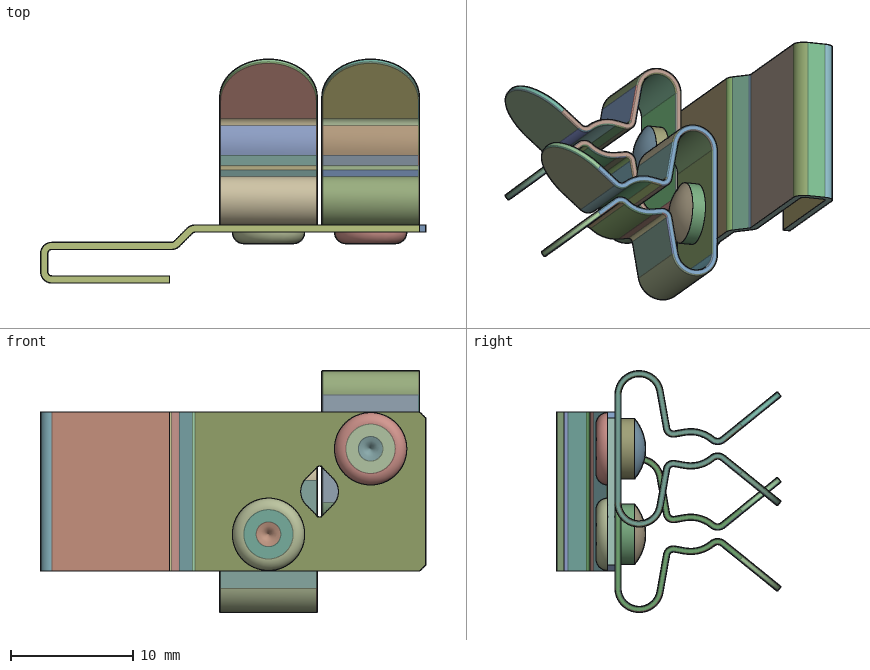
import cadquery as cq
import math


bracket_length = 31.5
bracket_height = 13.0
bracket_thickness = 0.6
bracket_inner_radius = 0.3
hook_depth = 3.35
hook_arm_length = 10.55
jog_offset = 1.42
jog_angle = 45
plate_length = 18.87
plate_end = 8.7
corner_chamfer = 0.5

opening_radius = 1.55
opening_half_height = 2.08

rivet_spacing_x = 8.35
rivet_offset_x = rivet_spacing_x / 2
rivet_offset_z = 3.5
shank_radius = 2.5
shank_end = 1.6
dome_height = 0.9
head_radius = 2.95
head_height = 0.95
head_flat_radius = head_radius - head_height
dimple_radius = 1.0

clip_width = 8.0
clip_thickness = 0.5
clip_edge_radius = 0.1
web_half_height = 4.4
loop_radius = 1.73
loop_angle = 170
arm_length = 3.1
elbow_radius = 0.57
elbow_angle = 90
shelf_length = 0.85
crest_radius = 2.75
crest_angle = 50
throat_radius = 0.7
throat_angle = 79
leg_length = 5.92


def bent_path(plane, start, heading, steps):
    """Wire of straights and tangent bends.

    Each step is ("straight", length) or ("bend", radius, turn), with turns in degrees, positive to the left.
    """
    path = cq.Workplane(plane).moveTo(*start)
    u, v = start
    for kind, size, *turn in steps:
        if kind == "straight":
            u += size * math.cos(math.radians(heading))
            v += size * math.sin(math.radians(heading))
            path = path.lineTo(u, v)
        else:
            half_turn = turn[0] / 2
            chord = 2 * size * math.sin(math.radians(abs(half_turn)))
            u += chord * math.cos(math.radians(heading + half_turn))
            v += chord * math.sin(math.radians(heading + half_turn))
            path = path.tangentArcPoint((u, v), relative=False)
            heading += turn[0]
    return path


def opening_cutter():
    """Prism along Y with the outline of the opening in the mounting plate."""
    diagonal = math.sqrt(0.5)
    tip_radius = (opening_radius - opening_half_height * diagonal) / (1 - diagonal)
    tip_centre = opening_half_height - tip_radius
    side = opening_radius * diagonal
    tip_u = tip_radius * diagonal
    tip_v = tip_centre + tip_u
    return (
        cq.Workplane("XZ")
        .moveTo(side, -side)
        .threePointArc((opening_radius, 0), (side, side))
        .lineTo(tip_u, tip_v)
        .threePointArc((0, opening_half_height), (-tip_u, tip_v))
        .lineTo(-side, side)
        .threePointArc((-opening_radius, 0), (-side, -side))
        .lineTo(-tip_u, -tip_v)
        .threePointArc((0, -opening_half_height), (tip_u, -tip_v))
        .close()
        .extrude(bracket_thickness)
    )


def rivet_hole(x, z):
    """Cylinder along Y that clears the shank of the rivet at (x, z) in both the plate and the clip."""
    reach = bracket_thickness + clip_thickness
    return (
        cq.Workplane("XZ", origin=(x, clip_thickness, z))
        .circle(shank_radius)
        .extrude(reach)
    )


def make_bracket():
    bend_radius = bracket_inner_radius + bracket_thickness / 2
    outer_radius = bracket_inner_radius + bracket_thickness
    jog_radians = math.radians(jog_angle)
    jog_bends_x = 2 * bend_radius * math.sin(jog_radians)
    jog_bends_y = 2 * bend_radius * (1 - math.cos(jog_radians))
    slant_length = (jog_offset - jog_bends_y) / math.sin(jog_radians)
    jog_length = jog_bends_x + slant_length * math.cos(jog_radians)
    hook_arm_straight = hook_arm_length - outer_radius
    hook_spine_straight = hook_depth - 2 * outer_radius
    hook_back_straight = bracket_length - plate_length - jog_length - outer_radius
    start_x = plate_end - bracket_length + hook_arm_length
    start_y = bracket_thickness / 2 - jog_offset - hook_depth
    steps = [
        ("straight", hook_arm_straight),
        ("bend", bend_radius, -90),
        ("straight", hook_spine_straight),
        ("bend", bend_radius, -90),
        ("straight", hook_back_straight),
        ("bend", bend_radius, jog_angle),
        ("straight", slant_length),
        ("bend", bend_radius, -jog_angle),
        ("straight", plate_length),
    ]
    path = bent_path("XY", (start_x, start_y), 180, steps)
    bracket = (
        cq.Workplane("YZ", origin=(start_x, start_y, 0))
        .rect(bracket_thickness, bracket_height)
        .sweep(path)
    )
    return bracket.edges("|Y and >X").chamfer(corner_chamfer).cut(opening_cutter())


def leg_end_trimmer(tip_y, tip_z, leg_angle):
    """Material outside the half-round end of a leg, centred on x = 0."""
    half_width = clip_width / 2
    margin = clip_thickness
    outer_half_width = half_width + margin
    tip_plane = cq.Plane(
        origin=(0, tip_y, tip_z),
        xDir=(1, 0, 0),
        normal=(0, -math.sin(leg_angle), math.cos(leg_angle)),
    )
    return (
        cq.Workplane(tip_plane)
        .moveTo(-half_width, -half_width)
        .threePointArc((0, 0), (half_width, -half_width))
        .lineTo(outer_half_width, -half_width)
        .lineTo(outer_half_width, margin)
        .lineTo(-outer_half_width, margin)
        .lineTo(-outer_half_width, -half_width)
        .close()
        .extrude(clip_thickness, both=True)
    )


def make_clip(x, z):
    """Clip bent from one strip, placed with the middle of its web at (x, z)."""
    steps = [
        ("straight", web_half_height),
        ("bend", loop_radius, -loop_angle),
        ("straight", arm_length),
        ("bend", elbow_radius, elbow_angle),
        ("straight", shelf_length),
        ("bend", crest_radius, -crest_angle),
        ("bend", throat_radius, throat_angle),
        ("straight", leg_length),
    ]
    path = bent_path("YZ", (clip_thickness / 2, 0), 90, steps).wire()
    leg_tip = path.val().endPoint()
    leg_angle = math.radians(90 - loop_angle + elbow_angle - crest_angle + throat_angle)
    upper_half = (
        cq.Workplane("XY", origin=(0, clip_thickness / 2, 0))
        .rect(clip_width, clip_thickness)
        .sweep(path)
        .cut(leg_end_trimmer(leg_tip.y, leg_tip.z, leg_angle))
    )
    strip = upper_half.union(upper_half.mirror("XY")).clean()
    strip = strip.edges("not |X").fillet(clip_edge_radius)
    return strip.translate((x, 0, z)).cut(rivet_hole(x, z))


def make_rivet(x, z):
    """Rivet revolved about an axis along Y through (x, z): dimpled head, shank and domed tail."""
    plate_face = -bracket_thickness
    head_face = plate_face - head_height
    dome_radius = (shank_radius**2 + dome_height**2) / (2 * dome_height)
    dome_end = shank_end + dome_height
    dome_middle_angle = math.asin(shank_radius / dome_radius) / 2
    dome_middle = (
        dome_radius * math.sin(dome_middle_angle),
        dome_end - dome_radius * (1 - math.cos(dome_middle_angle)),
    )
    dimple_arc = dimple_radius * (1 - math.sqrt(0.5))
    dimple_middle = (dimple_arc, head_face + dimple_arc)
    head_arc = head_height * math.sqrt(0.5)
    head_middle = (head_flat_radius + head_arc, plate_face - head_arc)
    return (
        cq.Workplane("XY")
        .moveTo(0, head_face + dimple_radius)
        .threePointArc(dimple_middle, (dimple_radius, head_face))
        .lineTo(head_flat_radius, head_face)
        .threePointArc(head_middle, (head_radius, plate_face))
        .lineTo(shank_radius, plate_face)
        .lineTo(shank_radius, shank_end)
        .threePointArc(dome_middle, (0, dome_end))
        .close()
        .revolve(360, (0, 0, 0), (0, 1, 0))
        .translate((x, 0, z))
    )


bracket = make_bracket()
clips = []
rivets = []
for side in (-1, 1):
    x = side * rivet_offset_x
    z = side * rivet_offset_z
    bracket = bracket.cut(rivet_hole(x, z))
    clips.append(make_clip(x, z))
    rivets.append(make_rivet(x, z))

clip_solids = [clip.val() for clip in clips]
rivet_solids = [rivet.val() for rivet in rivets]
result = cq.Compound.makeCompound([bracket.val(), *clip_solids, *rivet_solids])